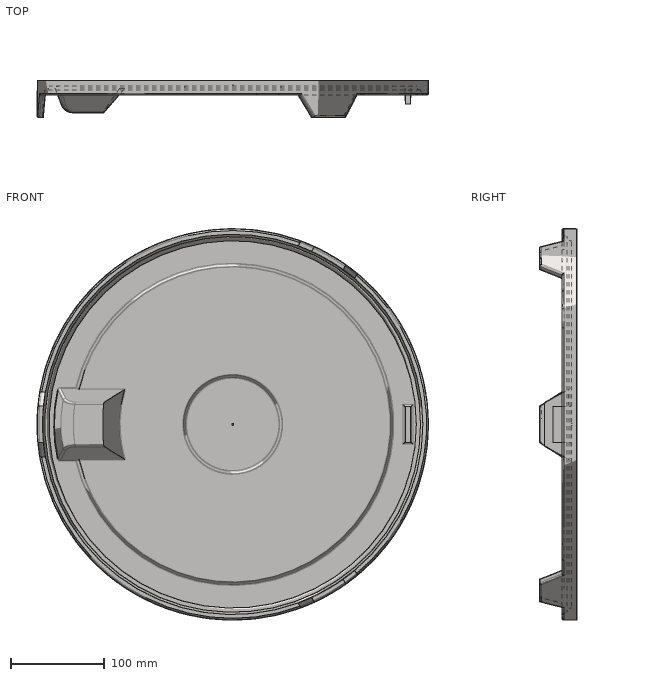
import cadquery as cq
import math


rim_radius = 210.0
rim_inner_radius = 204.0
rim_depth = 16.0
rim_edge_radius = 2.0
rim_wall_draft = 2.5
rim_root_radius = 4.5

plate_depth = 6.0
step_height = 2.5
ring_outer_radius = 172.5
ring_inner_radius = 50.0
step_run = 3.2
step_edge_radius = 1.0

ring_depth = plate_depth + step_height

dimple_diameter = 2.0
dimple_depth = 1.0

total_depth = 40.0
tab_angles = (60.0, 180.0, 300.0)
tab_tip_half_width = 19.5
tab_root_half_width = 35.0
envelope_margin = 5.0

hold_depth = 35.0
hold_base_left = -187.0
hold_base_left_bow = 4.5
hold_base_right = -113.5
hold_base_right_bow = 6.0
hold_base_half_height = 39.0
hold_top_left = -179.0
hold_top_left_bow = 2.0
hold_top_right = -138.5
hold_top_right_bow = 1.0
hold_top_half_height = 23.3
hold_roll_radius = 14.0
hold_edge_radius = 3.0
hold_toe_radius = 0.8

lug_depth = 25.5
lug_x = 188.0
lug_base_width = 7.0
lug_tip_width = 5.5
lug_height = 38.5
lug_toe_radius = 2.0

selection_margin = 0.5


def front_plane(depth):
    """Plane parallel to XZ, facing the front, at a depth in front of the back."""
    return cq.Workplane("XZ", origin=(0, -depth, 0))


def make_dish():
    """Stepped plate with a rim wall standing to the full depth all the way round."""
    wall_foot = rim_inner_radius - rim_wall_draft
    profile = (
        cq.Workplane("XY")
        .moveTo(0, 0)
        .lineTo(rim_radius, 0)
        .lineTo(rim_radius, -total_depth)
        .lineTo(rim_inner_radius, -total_depth)
        .lineTo(rim_inner_radius, -rim_depth)
        .lineTo(wall_foot, -plate_depth - rim_root_radius)
        .radiusArc((wall_foot - rim_root_radius, -plate_depth), rim_root_radius)
        .lineTo(ring_outer_radius, -plate_depth)
        .lineTo(ring_outer_radius - step_run, -ring_depth)
        .lineTo(ring_inner_radius + step_run, -ring_depth)
        .lineTo(ring_inner_radius, -plate_depth)
        .lineTo(0, -plate_depth)
        .close()
    )
    dish = profile.revolve(360, (0, 0, 0), (0, 1, 0))
    step_zone = ring_outer_radius + step_run
    step_edges = cq.selectors.BoxSelector(
        (-step_zone, -rim_depth, -step_zone),
        (step_zone, -plate_depth / 2, step_zone),
        boundingbox=True,
    )
    return dish.edges(step_edges).edges("%CIRCLE").fillet(step_edge_radius)


def make_rim_envelope():
    """Low disc with three radial trapezoids that leave the tabs standing above the rim."""
    reach = rim_radius + envelope_margin
    envelope = cq.Workplane("XZ").circle(reach).extrude(rim_depth)
    tab = (
        cq.Workplane("YZ")
        .moveTo(0, -tab_root_half_width)
        .lineTo(-rim_depth, -tab_root_half_width)
        .lineTo(-total_depth, -tab_tip_half_width)
        .lineTo(-total_depth, tab_tip_half_width)
        .lineTo(-rim_depth, tab_root_half_width)
        .lineTo(0, tab_root_half_width)
        .close()
        .extrude(reach)
    )
    for angle in tab_angles:
        envelope = envelope.union(tab.rotate((0, 0, 0), (0, 1, 0), -angle))
    return envelope


def round_front_edge(rim):
    """Round the outer front edge of the rim and tabs."""
    outer_edges = [
        edge
        for edge in rim.edges().vals()
        if edge.Center().y < -rim_depth + selection_margin
        and math.hypot(edge.startPoint().x, edge.startPoint().z) > rim_radius - selection_margin
        and math.hypot(edge.endPoint().x, edge.endPoint().z) > rim_radius - selection_margin
    ]
    return rim.newObject(outer_edges).fillet(rim_edge_radius)


def bowed_outline(plane, left, left_bow, right, right_bow, half_height):
    """Four-sided outline whose left and right sides bow towards -X by the given amounts."""
    return (
        plane.moveTo(left, -half_height)
        .lineTo(right, -half_height)
        .threePointArc((right - right_bow, 0), (right, half_height))
        .lineTo(left, half_height)
        .threePointArc((left - left_bow, 0), (left, -half_height))
        .close()
        .wires()
        .val()
    )


def make_hand_hold():
    """Raised hand hold with sloping sides, rounded on the left and hollow on the right."""
    base = bowed_outline(
        front_plane(plate_depth),
        hold_base_left,
        hold_base_left_bow,
        hold_base_right,
        hold_base_right_bow,
        hold_base_half_height,
    )
    top = bowed_outline(
        front_plane(hold_depth),
        hold_top_left,
        hold_top_left_bow,
        hold_top_right,
        hold_top_right_bow,
        hold_top_half_height,
    )
    hold = cq.Workplane(cq.Solid.makeLoft([base, top], True))
    hold = hold.faces("<Y").edges("<X").fillet(hold_roll_radius)
    side_edges = hold.faces("<Y").edges("<Z or >Z")
    return side_edges.fillet(hold_edge_radius)


def make_lug():
    """Grip lug whose two long sides taper towards its tip."""
    half_base = lug_base_width / 2
    half_tip = lug_tip_width / 2
    return (
        cq.Workplane("XY")
        .moveTo(lug_x - half_base, -plate_depth)
        .lineTo(lug_x - half_tip, -lug_depth)
        .lineTo(lug_x + half_tip, -lug_depth)
        .lineTo(lug_x + half_base, -plate_depth)
        .close()
        .extrude(lug_height / 2, both=True)
    )


def make_dimple():
    """Small round dimple at the centre of the plate."""
    return front_plane(plate_depth - dimple_depth).circle(dimple_diameter / 2).extrude(dimple_depth)


def blend_toe(lid, x_min, x_max, half_height, radius):
    """Fillet the foot of a raised feature where it meets the plate."""
    foot = cq.selectors.BoxSelector(
        (x_min - selection_margin, -ring_depth - selection_margin, -half_height - selection_margin),
        (x_max + selection_margin, -plate_depth + selection_margin, half_height + selection_margin),
        boundingbox=True,
    )
    return lid.edges(foot).fillet(radius)


result = round_front_edge(make_dish().intersect(make_rim_envelope()))
result = result.union(make_hand_hold()).union(make_lug()).cut(make_dimple())
result = blend_toe(
    result,
    lug_x - lug_base_width / 2,
    lug_x + lug_base_width / 2,
    lug_height / 2,
    lug_toe_radius,
)
result = blend_toe(
    result,
    hold_base_left - hold_base_left_bow,
    hold_base_right,
    hold_base_half_height,
    hold_toe_radius,
)